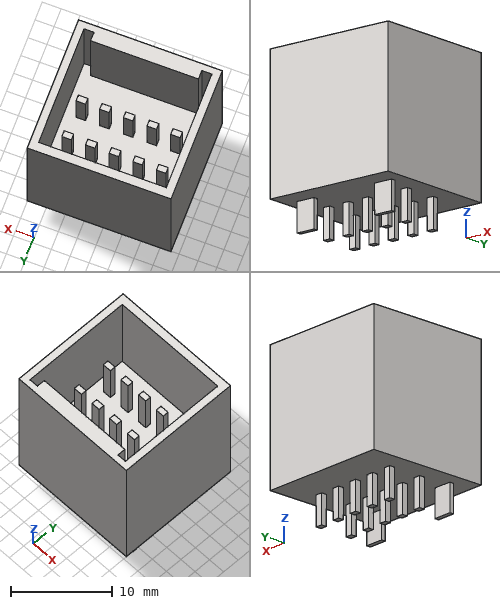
import cadquery as cq

body_length = 15.2
body_width = 14.4
body_height = 15.5

end_wall = 0.85
front_wall = 0.7
back_wall = 0.95
cavity_depth = 10.2
cavity_length = body_length - 2 * end_wall
cavity_width = body_width - front_wall - back_wall
floor_height = body_height - cavity_depth

ridge_depth = 0.95
keyway_width = 1.05
ridge_length = cavity_length - 2 * keyway_width

contacts_per_row = 5
contact_pitch = 2.5
row_pitch = 4.0
front_row_offset = 5.93
contact_thickness = 0.65
blade_width = 1.0
blade_top_drop = 5.4
blade_height = cavity_depth - blade_top_drop
tail_width = 0.8
tail_length = 3.4

tab_width = 2.2
tab_thickness = 0.5
tab_length = 3.25
tab_offset = 2.6

front_face_y = -body_width / 2
front_row_y = front_face_y + front_row_offset
row_positions = [front_row_y, front_row_y + row_pitch]
end_contact_x = (contacts_per_row - 1) / 2 * contact_pitch
contact_positions = [i * contact_pitch - end_contact_x for i in range(contacts_per_row)]


def block(size_x, size_y, size_z, x, y, base_z):
    """Box centred on (x, y) and standing on base_z."""
    box = cq.Workplane("XY").box(size_x, size_y, size_z, centered=(True, True, False))
    return box.translate((x, y, base_z))


def make_housing():
    """Box with a cavity, and the keying ridge running down to the cavity floor."""
    shell = block(body_length, body_width, body_height, 0, 0, 0)
    cavity_y = front_face_y + front_wall + cavity_width / 2
    cavity = block(cavity_length, cavity_width, cavity_depth, 0, cavity_y, floor_height)
    ridge_y = front_face_y + front_wall + ridge_depth / 2
    ridge = block(ridge_length, ridge_depth, cavity_depth, 0, ridge_y, floor_height)
    return shell.cut(cavity).union(ridge)


def add_contacts(housing):
    """Blade above the cavity floor and tail below the body at every contact."""
    for y in row_positions:
        for x in contact_positions:
            blade = block(blade_width, contact_thickness, blade_height, x, y, floor_height)
            tail = block(tail_width, contact_thickness, tail_length, x, y, -tail_length)
            housing = housing.union(blade).union(tail)
    return housing


def add_tabs(housing):
    """One mounting tab under each end of the body."""
    tab_y = front_face_y + tab_offset
    for x in (-end_contact_x, end_contact_x):
        housing = housing.union(block(tab_width, tab_thickness, tab_length, x, tab_y, -tab_length))
    return housing


result = add_tabs(add_contacts(make_housing()))